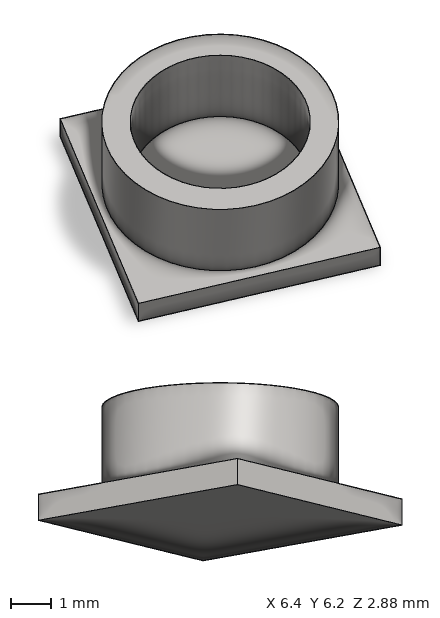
import cadquery as cq

plate_length = 6.4
plate_width = 6.2
plate_thickness = 0.65

total_height = 2.88
ring_outer_diameter = 5.8
ring_inner_diameter = 4.4
ring_height = total_height - plate_thickness


def make_plate():
    """Rectangular plate with its underside at Z = 0."""
    return cq.Workplane("XY").box(
        plate_length, plate_width, plate_thickness, centered=(True, True, False)
    )


def make_ring():
    """Open ring resting on the top face of the plate."""
    return (
        cq.Workplane("XY")
        .workplane(offset=plate_thickness)
        .circle(ring_outer_diameter / 2)
        .circle(ring_inner_diameter / 2)
        .extrude(ring_height)
    )


plate = make_plate()
ring = make_ring()

result = cq.Compound.makeCompound([plate.val(), ring.val()])